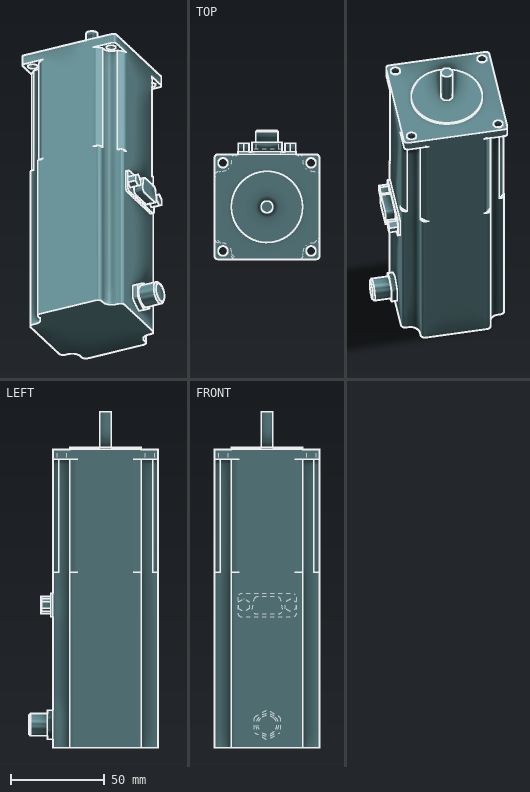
import cadquery as cq
import math

width = 56.4
half_width = width / 2
groove_depth = 9.0
groove_round = 5.0
column_edge_round = 2.5

total_height = 180.1
flange_top = 160.0
flange_thickness = 5.4
flange_bottom = flange_top - flange_thickness
flange_corner_round = 2.0
bolt_spacing = 47.2
bolt_hole_diameter = 5.0
pilot_diameter = 38.2
pilot_height = 1.0
shaft_diameter = 6.3

relief_bottom = 94.2
relief_height = flange_bottom - relief_bottom
relief_leg = 12.0
relief_round = 2.5

round_connector_z = 12.5
connector_reach = 13.0
nut_across_flats = 14.0
nut_thickness = 3.0
nut_round = 1.8
barrel_diameter = 12.0
barrel_chamfer = 0.99

d_connector_z = 76.5
plate_width = 31.2
plate_height = 12.6
plate_thickness = 1.3
plate_round = 2.0
shell_width_top = 13.7
shell_width_bottom = 17.3
shell_height = 9.4
shell_round = 2.3
shell_reach = 6.5
jackscrew_spacing = 25.0
jackscrew_across_flats = 6.0
jackscrew_reach = 6.0

HEXAGON_SIDES = 6
HEXAGON_TURN = 180 / HEXAGON_SIDES


def side_plane(z):
    """Plane on the +Y face at height z; local x is -X, local y is Z, the normal is +Y."""
    return cq.Workplane("XZ", origin=(0, half_width, z)).transformed(rotate=(0, 180, 0))


def upright_hexagon(workplane, across_flats, length):
    """Hexagonal prism along the workplane normal, with a corner pointing up."""
    across_corners = across_flats / math.cos(math.radians(HEXAGON_TURN))
    turned = workplane.transformed(rotate=(0, 0, HEXAGON_TURN))
    return turned.polygon(HEXAGON_SIDES, across_corners).extrude(length)


def make_column():
    """Cross-shaped column with rounded arm edges and rounded corner grooves."""
    arm_width = width - 2 * groove_depth
    arm = cq.Workplane().rect(width, arm_width).extrude(flange_bottom)
    arm = arm.edges("|Z").fillet(column_edge_round)
    cross = arm.union(arm.rotate((0, 0, 0), (0, 0, 1), 90))
    reach = half_width - groove_depth / 2
    inner_corners = cq.selectors.BoxSelector((-reach, -reach, 0), (reach, reach, flange_bottom))
    return cross.edges("|Z").edges(inner_corners).fillet(groove_round)


def make_corner_relief():
    """Material outside a square with bevelled, softened corners, along the upper column."""
    upper = cq.Workplane(origin=(0, 0, relief_bottom))
    kept = upper.rect(width, width).extrude(relief_height)
    kept = kept.edges("|Z").chamfer(relief_leg)
    kept = kept.edges("|Z").fillet(relief_round)
    return upper.rect(width, width).extrude(relief_height).cut(kept)


def make_flange():
    """Square plate with rounded corners and a bolt hole in each corner."""
    flange = cq.Workplane(origin=(0, 0, flange_bottom)).rect(width, width).extrude(flange_thickness)
    flange = flange.edges("|Z").fillet(flange_corner_round)
    bolts = flange.faces(">Z").workplane().rect(bolt_spacing, bolt_spacing, forConstruction=True)
    return bolts.vertices().hole(bolt_hole_diameter)


def make_pilot_and_shaft():
    """Low centring disc with the motor shaft rising through it."""
    top = cq.Workplane(origin=(0, 0, flange_top))
    pilot = top.circle(pilot_diameter / 2).extrude(pilot_height)
    return pilot.union(top.circle(shaft_diameter / 2).extrude(total_height - flange_top))


def make_round_connector():
    """Hexagonal nut carrying a chamfered barrel."""
    base = side_plane(round_connector_z)
    nut = upright_hexagon(base, nut_across_flats, nut_thickness).edges("|Y").fillet(nut_round)
    barrel = base.circle(barrel_diameter / 2).extrude(connector_reach)
    return nut.union(barrel.faces(">Y").chamfer(barrel_chamfer))


def make_d_connector():
    """Mounting plate with a D-shaped shell between two hexagonal jackscrews."""
    base = side_plane(d_connector_z)
    plate = base.rect(plate_width, plate_height).extrude(plate_thickness)
    plate = plate.edges("|Y").fillet(plate_round)
    shell = base.polyline([
        (-shell_width_bottom / 2, -shell_height / 2),
        (shell_width_bottom / 2, -shell_height / 2),
        (shell_width_top / 2, shell_height / 2),
        (-shell_width_top / 2, shell_height / 2),
    ]).close().extrude(shell_reach)
    connector = plate.union(shell.edges("|Y").fillet(shell_round))
    for side in (-1, 1):
        center = base.center(side * jackscrew_spacing / 2, 0)
        connector = connector.union(upright_hexagon(center, jackscrew_across_flats, jackscrew_reach))
    return connector


result = (
    make_column()
    .cut(make_corner_relief())
    .union(make_flange())
    .union(make_pilot_and_shaft())
    .union(make_round_connector())
    .union(make_d_connector())
)